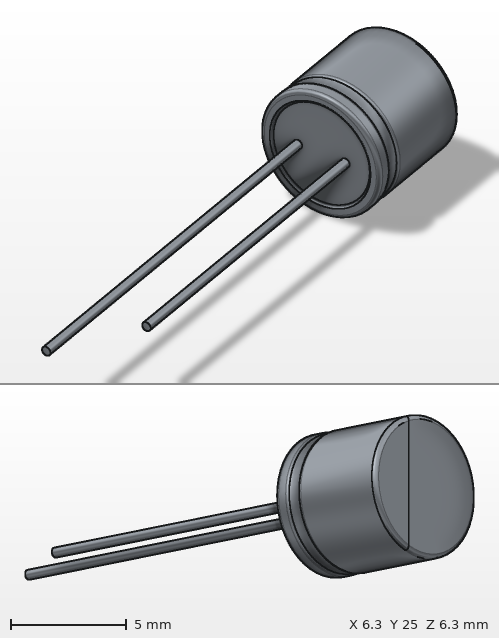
import cadquery as cq

total_length = 25.0
can_diameter = 6.3
can_length = 6.0
can_radius = can_diameter / 2
can_back = total_length / 2
can_front = can_back - can_length

edge_round = 0.2
groove_depth = 0.15
groove_center = can_front + 1.08
groove_half_width = 0.3
lip_round = 0.15
lip_drop = 0.08

plug_radius = 2.52
rim_round = 0.12
plug_thickness = 1.0
plug_front = can_front + rim_round
plug_back = plug_front + plug_thickness

mark_start_x = can_radius / 3
mark_thickness = edge_round

lead_diameter = 0.45
lead_pitch = 2.5
long_lead_tip = -total_length / 2
short_lead_tip = long_lead_tip + 4.0
lead_x_and_tip = [(-lead_pitch / 2, long_lead_tip), (lead_pitch / 2, short_lead_tip)]


def cylinder_along_y(radius, y_start, y_end, x=0.0):
    """Cylinder parallel to Y between two Y positions."""
    return cq.Workplane("XZ", origin=(x, y_start, 0)).circle(radius).extrude(y_start - y_end)


def make_can_blank():
    """Can with rounded ends, a crimp groove and a blind seat for the plug."""
    groove_radius = can_radius - groove_depth
    lip_radius = can_radius - lip_drop
    groove_front = groove_center - groove_half_width
    groove_back = groove_center + groove_half_width
    profile = (
        cq.Workplane("XY")
        .moveTo(0, plug_back)
        .lineTo(plug_radius, plug_back)
        .lineTo(plug_radius, plug_front)
        .radiusArc((plug_radius + rim_round, can_front), rim_round)
        .lineTo(can_radius - edge_round, can_front)
        .radiusArc((can_radius, can_front + edge_round), -edge_round)
        .lineTo(can_radius, groove_front - lip_round)
        .radiusArc((lip_radius, groove_front), -lip_round)
        .threePointArc((groove_radius, groove_center), (lip_radius, groove_back))
        .radiusArc((can_radius, groove_back + lip_round), -lip_round)
        .lineTo(can_radius, can_back - edge_round)
        .radiusArc((can_radius - edge_round, can_back), -edge_round)
        .lineTo(0, can_back)
        .close()
    )
    return profile.revolve(360, (0, 0, 0), (0, 1, 0))


def make_mark_region():
    """Block that bounds the polarity mark within the back end of the can."""
    return cq.Workplane("XY").box(
        can_radius, mark_thickness, can_diameter, centered=(False, False, True)
    ).translate((mark_start_x, can_back - mark_thickness, 0))


def make_lead(x, tip):
    """Round lead running from its tip to the plug face."""
    return cylinder_along_y(lead_diameter / 2, tip, plug_front, x)


can_blank = make_can_blank()
mark_region = make_mark_region()
can = can_blank.cut(mark_region).solids()
polarity_mark = can_blank.intersect(mark_region).solids()
plug = cylinder_along_y(plug_radius, plug_front, plug_back)
leads = [make_lead(x, tip) for x, tip in lead_x_and_tip]

result = cq.Compound.makeCompound(
    [can.val(), polarity_mark.val(), plug.val(), *[lead.val() for lead in leads]]
)